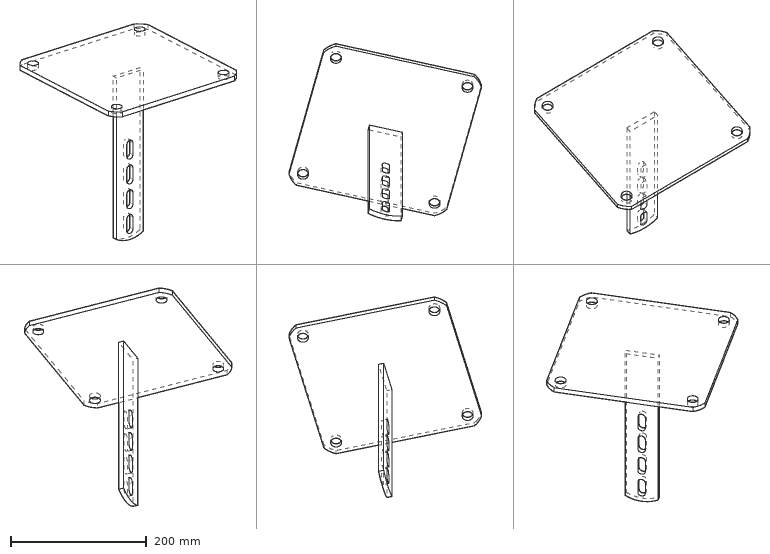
import cadquery as cq
import math

total_height = 276.0
plate_side = 240.0
plate_thickness = 8.0
plate_top = 0.0

corner_setback = 15.0
corner_radius = 40.0
plate_hole_diameter = 16.0
plate_hole_spacing = 200.0

strap_width = 50.2
strap_thickness = 8.0
strap_end_radius = 50.0
strap_bottom = plate_top - total_height
strap_top = plate_top - plate_thickness

slot_count = 4
slot_length = 30.0
slot_width = 11.0
slot_pitch = 40.0
lowest_slot_height = 25.0


def arc_rise(chord, radius):
    """Height of an arc above its chord."""
    return radius - math.sqrt(radius**2 - (chord / 2) ** 2)


def make_plate():
    """Square plate with shallow arcs across its corners and four holes."""
    half = plate_side / 2
    straight_end = half - corner_setback
    bulge = arc_rise(corner_setback * math.sqrt(2), corner_radius)
    arc_middle = half - corner_setback / 2 + bulge / math.sqrt(2)

    outline = (
        cq.Workplane("XY", origin=(0, 0, strap_top))
        .moveTo(-straight_end, -half)
        .lineTo(straight_end, -half)
        .threePointArc((arc_middle, -arc_middle), (half, -straight_end))
        .lineTo(half, straight_end)
        .threePointArc((arc_middle, arc_middle), (straight_end, half))
        .lineTo(-straight_end, half)
        .threePointArc((-arc_middle, arc_middle), (-half, straight_end))
        .lineTo(-half, -straight_end)
        .threePointArc((-arc_middle, -arc_middle), (-straight_end, -half))
        .close()
    )
    return (
        outline.extrude(plate_thickness)
        .faces(">Z")
        .workplane(origin=(0, 0, plate_top))
        .rect(plate_hole_spacing, plate_hole_spacing, forConstruction=True)
        .vertices()
        .hole(plate_hole_diameter)
    )


def make_strap():
    """Flat strap in the YZ plane with a curved lower end and a column of slots."""
    half = strap_width / 2
    side_bottom = strap_bottom + arc_rise(strap_width, strap_end_radius)
    strap = (
        cq.Workplane("YZ")
        .moveTo(-half, strap_top)
        .lineTo(-half, side_bottom)
        .threePointArc((0, strap_bottom), (half, side_bottom))
        .lineTo(half, strap_top)
        .close()
        .extrude(strap_thickness / 2, both=True)
    )
    slot_centers = [
        (0, strap_bottom + lowest_slot_height + i * slot_pitch)
        for i in range(slot_count)
    ]
    slots = (
        cq.Workplane("YZ")
        .pushPoints(slot_centers)
        .slot2D(slot_length, slot_width, 90)
        .extrude(strap_thickness, both=True)
    )
    return strap.cut(slots)


plate = make_plate()
strap = make_strap()

result = cq.Compound.makeCompound([plate.val(), strap.val()])